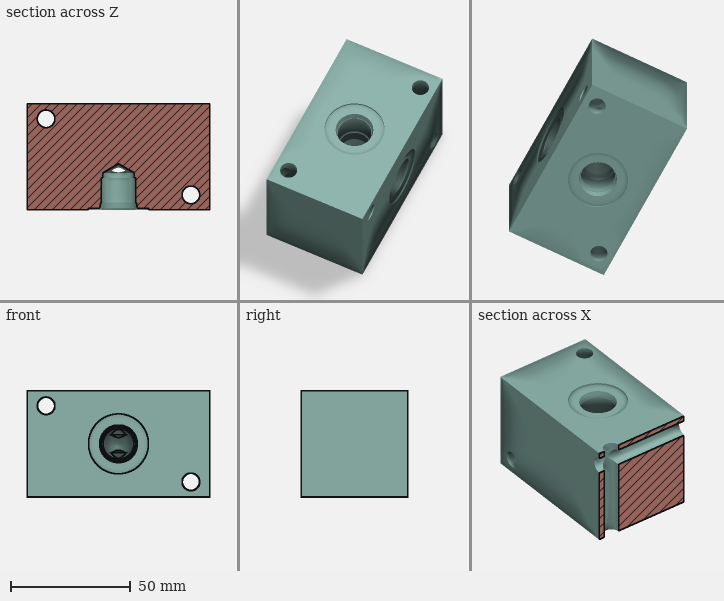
import cadquery as cq
import math

length = 76.2
width = 44.4
height = width

mount_diameter = 7.2
mount_offset_x = 30.2
mount_offset_side = 15.85

spotface_diameter = 25.0
spotface_depth = 0.8
seat_mouth_diameter = 15.7
seat_end_diameter = 14.55
seat_depth = 2.5
thread_diameter = 14.25
thread_depth = 12.7
drill_diameter = 12.9
drill_point_angle = 120.0

vertical_drill_end = 3.7
front_drill_end = 6.7


def port(face_distance, drill_end):
    """Cutter for one port, on the +Z axis, with the block centre at the origin."""
    floor = face_distance - spotface_depth
    seat_end = floor - seat_depth
    thread_end = floor - thread_depth
    drill_radius = drill_diameter / 2
    tip = drill_end - drill_radius / math.tan(math.radians(drill_point_angle / 2))
    profile = [
        (0, face_distance),
        (spotface_diameter / 2, face_distance),
        (spotface_diameter / 2, floor),
        (seat_mouth_diameter / 2, floor),
        (seat_end_diameter / 2, seat_end),
        (thread_diameter / 2, seat_end),
        (thread_diameter / 2, thread_end),
        (drill_radius, thread_end),
        (drill_radius, drill_end),
        (0, tip),
    ]
    return cq.Workplane("XZ").polyline(profile).close().revolve(360, (0, 0), (0, 1))


def mounting_holes(depth):
    """Cutter for the diagonal pair of through holes along Z."""
    centres = [(-mount_offset_x, mount_offset_side), (mount_offset_x, -mount_offset_side)]
    return cq.Workplane("XY").pushPoints(centres).circle(mount_diameter / 2).extrude(depth / 2, both=True)


def turn_about_x(shape, angle):
    return shape.rotate((0, 0, 0), (1, 0, 0), angle)


block = cq.Workplane("XY").box(length, width, height)

block = block.cut(mounting_holes(height))
block = block.cut(turn_about_x(mounting_holes(width), 90))

vertical_port = port(height / 2, vertical_drill_end)
front_port = port(width / 2, front_drill_end)
block = block.cut(vertical_port)
block = block.cut(turn_about_x(vertical_port, 180))
block = block.cut(turn_about_x(front_port, 90))

result = block